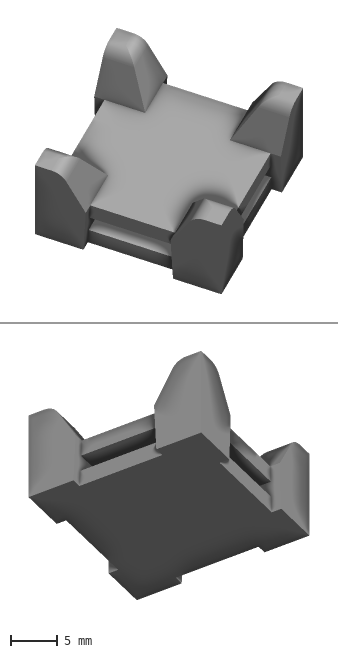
import cadquery as cq
import math

side = 22.0
height = side / 2

plate_inset = 1.2
plate_thickness = 2.0
upper_plate_top = 6.0
plate_side = side - 2 * plate_inset

post_width = 6.0
post_foot_width = 5.72
slope_angle = math.radians(60)
crest_radius = 2.0

slope_run = (height - upper_plate_top) / math.tan(slope_angle)
crest_flat = post_width - slope_run - crest_radius * math.tan(slope_angle / 2)
crest_centre_z = height - crest_radius


def crest_point(angle):
    """Point on the crest arc at an angle measured from vertical."""
    return (
        crest_flat + crest_radius * math.sin(angle),
        crest_centre_z + crest_radius * math.cos(angle),
    )


def post_profile(plane):
    """Post side outline, extruded across the post's full width."""
    return (
        cq.Workplane(plane)
        .lineTo(post_foot_width, 0)
        .lineTo(post_width, upper_plate_top)
        .lineTo(*crest_point(slope_angle))
        .threePointArc(crest_point(slope_angle / 2), crest_point(0))
        .lineTo(0, height)
        .close()
        .extrude(post_width)
    )


def plate(bottom_z):
    return (
        cq.Workplane("XY", origin=(0, 0, bottom_z))
        .rect(plate_side, plate_side)
        .extrude(plate_thickness)
    )


along_x = post_profile(cq.Plane((0, post_width, 0), (1, 0, 0), (0, -1, 0)))
along_y = post_profile(cq.Plane((0, 0, 0), (0, 1, 0), (1, 0, 0)))
post = along_x.intersect(along_y).translate((-side / 2, -side / 2, 0))

result = plate(0).union(plate(upper_plate_top - plate_thickness))
for quarter_turn in range(4):
    result = result.union(post.rotate((0, 0, 0), (0, 0, 1), 90 * quarter_turn))